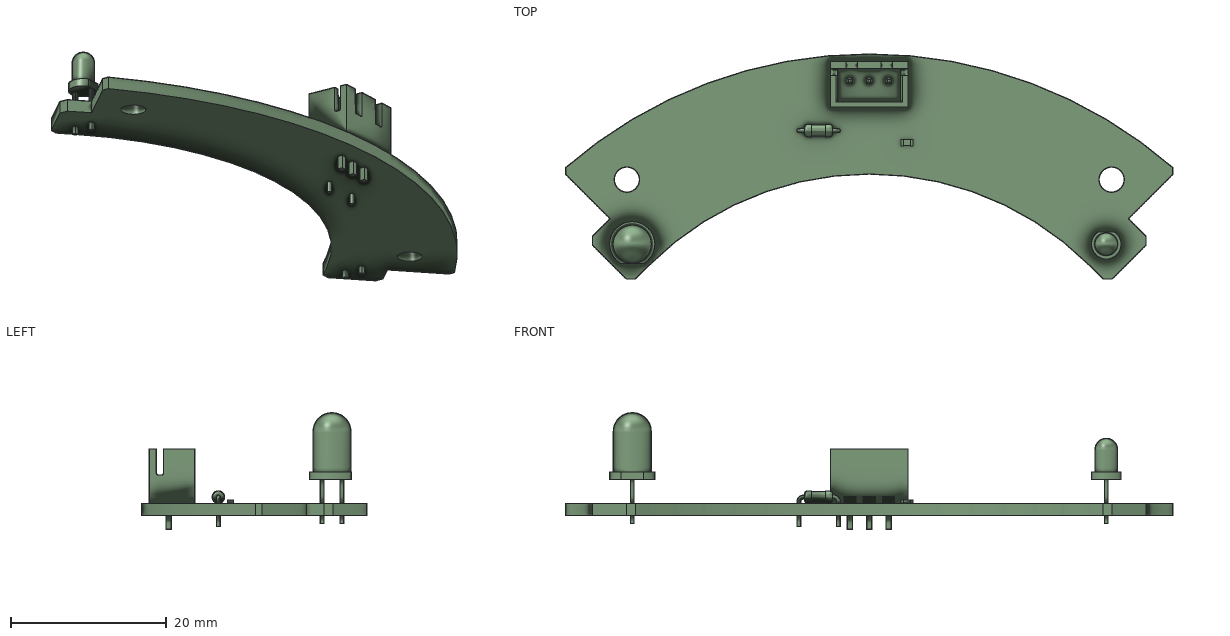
import cadquery as cq
import math


board_thickness = 1.6
board_half_width = 39.0
inner_radius = 40.0
outer_radius = 59.4
outer_arc_top = 55.45
outer_center_y = outer_arc_top - outer_radius
end_edge_offset = 0.68
tab_length = 4.0
tab_edge_offset = end_edge_offset - tab_length
tab_outer_radius = 47.8
tab_chamfer = 0.83
mount_hole_diameter = 3.2
mount_hole_x = 31.14
mount_hole_y = 39.3

led_x = 30.45
led_y = 31.0
led_standoff = 3.05
led_flange_height = 1.0
led_lead_width = 0.5
led_lead_pitch = 2.54
led_lead_bottom = -1.0

resistor_x = -6.5
resistor_y = 45.6
resistor_length = 3.6
resistor_cap_diameter = 1.6
resistor_barrel_diameter = 1.44
resistor_cap_length = resistor_length / 4
resistor_cap_fillet = resistor_cap_diameter / 4
resistor_lead_diameter = 0.5
resistor_lead_pitch = 5.08
resistor_bend_radius = 0.6
resistor_lead_bottom = -1.4

chip_x = 4.85
chip_y = 44.05
chip_length = 1.6
chip_width = 0.8
chip_height = 0.45
chip_terminal_length = 0.35
chip_terminal_wrap = 0.02

pin_count = 3
pin_pitch = 2.5
pin_width = 0.7
pin_top = 8.2
pin_bottom = -1.75
pin_tip = 0.2
connector_x = 0.0
connector_y = 52.0
housing_length = 10.0
housing_height = 7.0
housing_back = connector_y + 2.5
housing_depth = 5.9
housing_front = housing_back - housing_depth
housing_floor = 2.0
back_wall = 0.95
front_wall = 0.7
side_wall = 0.75
side_wall_draft = 0.25
slot_depth = 3.35
slot_corner_radius = 0.25
side_slot_width = 0.9
back_slot_width = 1.5
back_slot_spacing = 4.5
notch_width = 1.55
notch_height = 0.9
notch_depth = 0.7

pin_positions = [
    (connector_x + (i - (pin_count - 1) / 2) * pin_pitch, connector_y) for i in range(pin_count)
]
resistor_lead_positions = [
    (resistor_x + side * resistor_lead_pitch / 2, resistor_y) for side in (-1, 1)
]


def box(x0, x1, y0, y1, z0, z1):
    """Axis-aligned block between two opposite corners."""
    block = cq.Workplane("XY").box(x1 - x0, y1 - y0, z1 - z0, centered=False)
    return block.translate((x0, y0, z0))


def square_pins(positions, width, bottom, top):
    """Upright square pins at the given places."""
    return (
        cq.Workplane("XY")
        .workplane(offset=bottom)
        .pushPoints(positions)
        .rect(width, width)
        .extrude(top - bottom)
    )


def led_lead_positions(x):
    return [(x, led_y + side * led_lead_pitch / 2) for side in (-1, 1)]


def end_point(radial, offset):
    """Point at the right-hand end, given along and square to the 45 degree radius."""
    return ((radial - offset) * math.sqrt(0.5), (radial + offset) * math.sqrt(0.5))


def mirrored(point):
    return (-point[0], point[1])


def make_board():
    corner_cut_top = (
        board_half_width,
        outer_center_y + math.sqrt(outer_radius**2 - board_half_width**2),
    )
    corner_cut_bottom = (board_half_width, board_half_width + end_edge_offset * math.sqrt(2))
    right_end = [
        corner_cut_top,
        corner_cut_bottom,
        end_point(tab_outer_radius, end_edge_offset),
        end_point(tab_outer_radius, tab_edge_offset + tab_chamfer),
        end_point(tab_outer_radius - tab_chamfer, tab_edge_offset),
        end_point(inner_radius + tab_chamfer, tab_edge_offset),
        end_point(inner_radius, tab_edge_offset + tab_chamfer),
        end_point(inner_radius, 0),
    ]
    left_end = [mirrored(p) for p in reversed(right_end)]
    outline = cq.Workplane("XY").moveTo(*right_end[0])
    for point in right_end[1:]:
        outline = outline.lineTo(*point)
    outline = outline.threePointArc((0, inner_radius), left_end[0])
    for point in left_end[1:]:
        outline = outline.lineTo(*point)
    plate = outline.threePointArc((0, outer_arc_top), right_end[0]).close().extrude(board_thickness)

    mount_holes = (
        cq.Workplane("XY")
        .pushPoints([(-mount_hole_x, mount_hole_y), (mount_hole_x, mount_hole_y)])
        .circle(mount_hole_diameter / 2)
        .extrude(board_thickness)
    )
    led_holes = square_pins(
        led_lead_positions(-led_x) + led_lead_positions(led_x), led_lead_width, 0, board_thickness
    )
    pin_holes = square_pins(pin_positions, pin_width, 0, board_thickness)
    resistor_holes = (
        cq.Workplane("XY")
        .pushPoints(resistor_lead_positions)
        .circle(resistor_lead_diameter / 2)
        .extrude(board_thickness)
    )
    return plate.cut(mount_holes).cut(led_holes).cut(pin_holes).cut(resistor_holes)


def make_led(x, lens_diameter, height, flange_diameter, flat_distance, flat_side):
    """Domed LED on two leads; flat_side (+1 or -1) is the Y side of the flange flat."""
    base = board_thickness + led_standoff
    lens_radius = lens_diameter / 2
    dome_base = height - lens_radius
    dome_middle = lens_radius * math.sqrt(0.5)
    lens = (
        cq.Workplane("XZ")
        .lineTo(lens_radius, 0)
        .lineTo(lens_radius, dome_base)
        .threePointArc((dome_middle, dome_base + dome_middle), (0, height))
        .close()
        .revolve(360, (0, 0, 0), (0, 1, 0))
    )
    flange = cq.Workplane("XY").circle(flange_diameter / 2).extrude(led_flange_height)
    flat_cut = (
        cq.Workplane("XY")
        .center(0, flat_side * (flat_distance + flange_diameter / 2))
        .rect(flange_diameter, flange_diameter)
        .extrude(led_flange_height)
    )
    body = lens.union(flange.cut(flat_cut)).translate((x, led_y, base))
    return body.union(square_pins(led_lead_positions(x), led_lead_width, led_lead_bottom, base))


def make_resistor():
    """Axial resistor lying on the board, with both leads bent down through it."""
    axis_z = board_thickness + resistor_cap_diameter / 2
    half_length = resistor_length / 2
    half_pitch = resistor_lead_pitch / 2
    barrel_half = half_length - resistor_cap_length
    barrel = (
        cq.Workplane("YZ", origin=(-barrel_half, 0, 0))
        .circle(resistor_barrel_diameter / 2)
        .extrude(2 * barrel_half)
    )
    cap = (
        cq.Workplane("YZ", origin=(barrel_half, 0, 0))
        .circle(resistor_cap_diameter / 2)
        .extrude(resistor_cap_length)
        .faces(">X")
        .edges()
        .fillet(resistor_cap_fillet)
    )
    bend_start = half_pitch - resistor_bend_radius
    bend_middle = resistor_bend_radius * math.sqrt(0.5)
    lead_path = (
        cq.Workplane("XZ")
        .lineTo(bend_start, 0)
        .threePointArc(
            (bend_start + bend_middle, bend_middle - resistor_bend_radius),
            (half_pitch, -resistor_bend_radius),
        )
        .lineTo(half_pitch, resistor_lead_bottom - axis_z)
    )
    lead = cq.Workplane("YZ").circle(resistor_lead_diameter / 2).sweep(lead_path)
    half = cap.union(lead)
    return barrel.union(half).union(half.mirror("YZ")).translate((resistor_x, resistor_y, axis_z))


def make_chip():
    body = box(
        -chip_length / 2 + chip_terminal_wrap, chip_length / 2 - chip_terminal_wrap,
        -chip_width / 2 + chip_terminal_wrap, chip_width / 2 - chip_terminal_wrap,
        0, chip_height - chip_terminal_wrap,
    )
    terminal = box(
        chip_length / 2 - chip_terminal_length, chip_length / 2,
        -chip_width / 2, chip_width / 2, 0, chip_height,
    )
    chip = body.union(terminal).union(terminal.mirror("YZ"))
    return chip.translate((chip_x, chip_y, board_thickness))


def rim_slot(x0, x1, y0, y1, rim, along):
    """Cutter for a slot open at the rim; its bottom corners are rounded along X or Y."""
    slot = box(x0, x1, y0, y1, rim - slot_depth, rim)
    return slot.faces("<Z").edges("|" + along).fillet(slot_corner_radius)


def make_connector():
    """Open-topped housing with slotted walls and three square pins."""
    base = board_thickness
    rim = base + housing_height
    left = connector_x - housing_length / 2
    right = connector_x + housing_length / 2
    housing = box(left, right, housing_front, housing_back, base, rim)

    back_wall_face = housing_back - back_wall
    floor_z = base + housing_floor
    cavity = (
        cq.Workplane("XZ", origin=(0, back_wall_face, 0))
        .moveTo(left + side_wall, rim)
        .lineTo(right - side_wall, rim)
        .lineTo(right - side_wall - side_wall_draft, floor_z)
        .lineTo(left + side_wall + side_wall_draft, floor_z)
        .close()
        .extrude(housing_depth - back_wall - front_wall)
    )
    housing = housing.cut(cavity)

    housing = housing.cut(
        rim_slot(left, right, back_wall_face - side_slot_width, back_wall_face, rim, along="X")
    )
    for side in (-1, 1):
        slot_left = connector_x + side * back_slot_spacing / 2 - back_slot_width / 2
        housing = housing.cut(
            rim_slot(slot_left, slot_left + back_slot_width, back_wall_face, housing_back, rim, along="Y")
        )

    for x, _ in pin_positions:
        notch = (
            cq.Workplane("YZ", origin=(x - notch_width / 2, 0, 0))
            .moveTo(housing_front, base)
            .lineTo(housing_front, base + notch_height)
            .lineTo(housing_front + notch_depth, base)
            .close()
            .extrude(notch_width)
        )
        housing = housing.cut(notch)

    pins = square_pins(pin_positions, pin_width, pin_bottom, pin_top).faces(">Z").chamfer(pin_tip)
    return housing.union(pins)


board = make_board()
large_led = make_led(
    -led_x, lens_diameter=4.9, height=8.6, flange_diameter=5.8, flat_distance=2.5, flat_side=-1
)
small_led = make_led(
    led_x, lens_diameter=2.9, height=5.3, flange_diameter=3.8, flat_distance=1.55, flat_side=1
)
resistor = make_resistor()
chip = make_chip()
connector = make_connector()

result = cq.Compound.makeCompound([
    board.val(),
    large_led.val(),
    small_led.val(),
    resistor.val(),
    chip.val(),
    connector.val(),
])